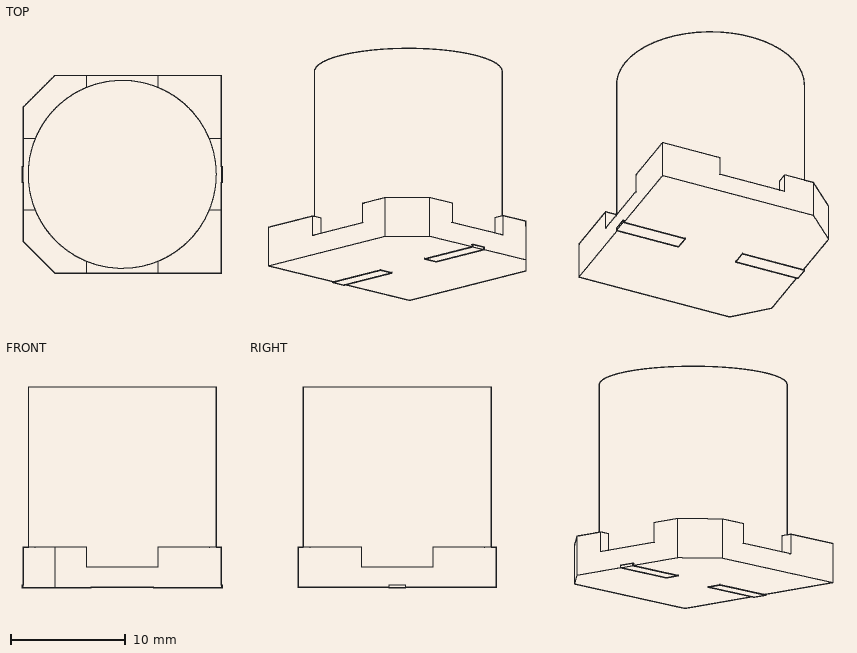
import cadquery as cq

BASE_SIZE = 17.3
BASE_HEIGHT = 3.5
STANDOFF = 0.05
BASE_TOP = STANDOFF + BASE_HEIGHT
CORNER_CUT = 2.77

NOTCH_WIDTH = 6.23
NOTCH_DEPTH = BASE_HEIGHT / 2
NOTCH_FLOOR = BASE_TOP - NOTCH_DEPTH

CAN_DIAMETER = 16.43
CAN_RISE_ABOVE_BASE = 14.0
CAN_HEIGHT = NOTCH_DEPTH + CAN_RISE_ABOVE_BASE

TERMINAL_SPAN = 17.5
TERMINAL_WIDTH = 1.4
TERMINAL_THICKNESS = 0.25
TERMINAL_LENGTH = 6.0


def make_can():
    """Plain cylinder standing in the round seat of the base."""
    return (
        cq.Workplane("XY")
        .workplane(offset=NOTCH_FLOOR)
        .circle(CAN_DIAMETER / 2)
        .extrude(CAN_HEIGHT)
    )


def make_terminal(side):
    """Flat strip under the base, its outer end just past the base edge; side is -1 or +1 along X."""
    centre_x = side * (TERMINAL_SPAN - TERMINAL_LENGTH) / 2
    return (
        cq.Workplane("XY")
        .center(centre_x, 0)
        .rect(TERMINAL_LENGTH, TERMINAL_WIDTH)
        .extrude(TERMINAL_THICKNESS)
    )


def make_base(can, terminals):
    """Square plate with two cut corners on -X, a notch in each side, and seats for the other bodies."""
    base = (
        cq.Workplane("XY")
        .workplane(offset=STANDOFF)
        .rect(BASE_SIZE, BASE_SIZE)
        .extrude(BASE_HEIGHT)
        .edges("|Z and <X")
        .chamfer(CORNER_CUT)
    )
    for length, width in ((BASE_SIZE, NOTCH_WIDTH), (NOTCH_WIDTH, BASE_SIZE)):
        channel = (
            cq.Workplane("XY")
            .workplane(offset=NOTCH_FLOOR)
            .rect(length, width)
            .extrude(NOTCH_DEPTH)
        )
        base = base.cut(channel)
    base = base.cut(can)
    for terminal in terminals:
        base = base.cut(terminal)
    return base


can = make_can()
terminals = [make_terminal(side) for side in (-1, 1)]
base = make_base(can, terminals)

result = cq.Compound.makeCompound(
    [base.val(), can.val(), *[terminal.val() for terminal in terminals]]
)